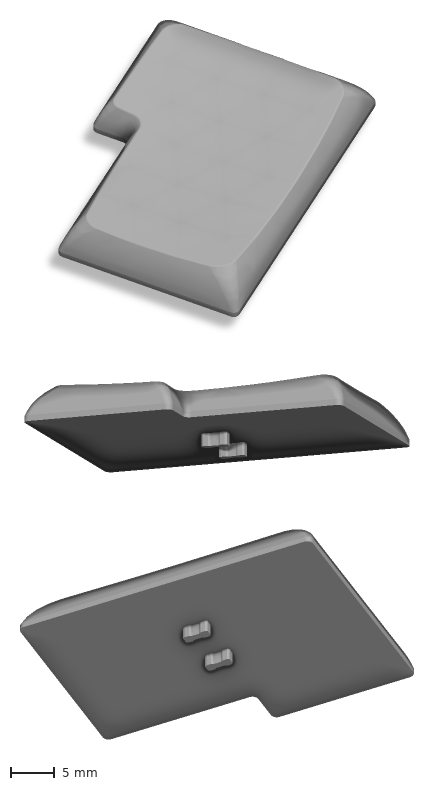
import cadquery as cq
import math

width = 27.5
length = 37.0
notch_width = 4.75
notch_length = 18.98
rim_height = 0.7

wall_radius = 7.77
wall_lean = 15.0
wall_top = 4.77
wall_sections = 5
corner_radius = 0.75
corner_growth = 0.55
right_corner_growth = 0.7
notch_tip_growth = 0.2

dish_radius = 140.6
dish_low_point = 3.25
dish_edge_round = 0.25

leg_spacing = 5.7
leg_width = 1.07
leg_length = 3.1
leg_depth = 1.5
leg_chamfer = 0.25
leg_bevel = 0.15
waist_length = 0.95
waist_slope = 0.25
leg_centre_x = notch_width / 2


def wall_inset(z):
    """Inward offset of the side walls at height z."""
    lean = math.radians(wall_lean)
    lean_at_z = math.asin(math.sin(lean) + (z - rim_height) / wall_radius)
    return wall_radius * (math.cos(lean) - math.cos(lean_at_z))


def outline(z, inset):
    """Rounded L-shaped outline at height z, drawn inward by inset."""
    left = -width / 2 + inset
    right = width / 2 - inset
    front = -length / 2 + inset
    back = length / 2 - inset
    notch_x = left + notch_width
    notch_y = front + notch_length
    corners = [
        (notch_x, front, corner_growth),
        (right, front, right_corner_growth),
        (right, back, right_corner_growth),
        (left, back, corner_growth),
        (left, notch_y, notch_tip_growth),
        (notch_x, notch_y, corner_growth),
    ]
    points = [cq.Vector(x, y, z) for x, y, growth in corners]
    radii = [corner_radius + growth * inset for x, y, growth in corners]
    arc_depth = 1 - math.sqrt(0.5)
    edges = []
    for i, (corner, radius) in enumerate(zip(points, radii)):
        next_i = (i + 1) % len(points)
        to_previous = (points[i - 1] - corner).normalized()
        to_next = (points[next_i] - corner).normalized()
        arc_start = corner + to_previous * radius
        arc_middle = corner + (to_previous + to_next) * (radius * arc_depth)
        arc_end = corner + to_next * radius
        next_arc_start = points[next_i] - to_next * radii[next_i]
        edges.append(cq.Edge.makeThreePointArc(arc_start, arc_middle, arc_end))
        edges.append(cq.Edge.makeLine(arc_end, next_arc_start))
    return cq.Wire.assembleEdges(edges)


def make_cap():
    """Straight rim and curved walls, dished on top with a softly rounded edge."""
    rim_outline = outline(z=0, inset=0)
    rim = cq.Workplane(cq.Solid.extrudeLinear(rim_outline, [], cq.Vector(0, 0, rim_height)))
    step = (wall_top - rim_height) / (wall_sections - 1)
    heights = [rim_height + i * step for i in range(wall_sections)]
    walls = cq.Solid.makeLoft([outline(z, wall_inset(z)) for z in heights])
    dish = (
        cq.Workplane("XZ")
        .sphere(dish_radius)
        .translate((0, 0, dish_low_point + dish_radius))
    )
    crown = cq.Workplane(walls).cut(dish)
    crown = crown.faces("%SPHERE").edges().fillet(dish_edge_round)
    return rim.union(crown)


def make_leg(centre_x):
    """Leg with chamfered ends and a shallow waist on both broad sides."""
    outer = leg_width / 2
    inner = outer - leg_bevel
    end = leg_length / 2
    waist = waist_length / 2
    quarter = [
        (inner, waist), (outer, waist + waist_slope),
        (outer, end - leg_chamfer), (inner, end),
    ]
    right_side = [(x, -y) for x, y in reversed(quarter)] + quarter
    left_side = [(-x, -y) for x, y in right_side]
    return (
        cq.Workplane()
        .polyline(right_side + left_side)
        .close()
        .extrude(-leg_depth)
        .translate((centre_x, 0, 0))
    )


result = make_cap()
for side in (-1, 1):
    result = result.union(make_leg(leg_centre_x + side * leg_spacing / 2))